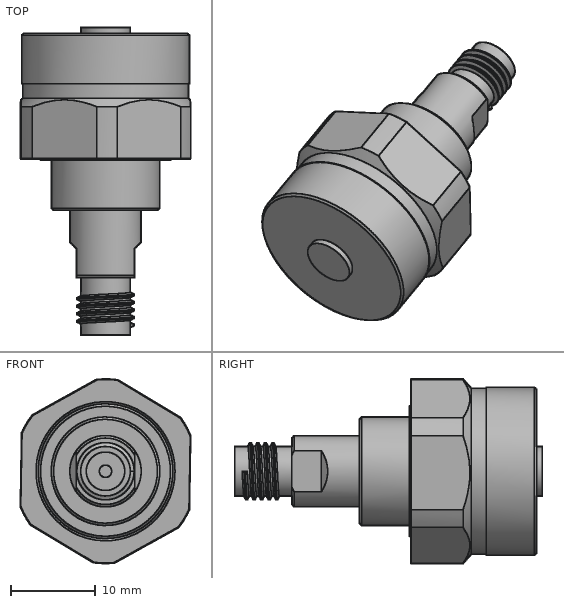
import cadquery as cq
import math

overall_length = 36.6
tip_radius = 5.9 / 2
barrel_radius = 4.25
barrel_front = 6.8
body_radius = 12.92 / 2
body_front = 14.82
edge_chamfer = 0.3

nut_radius = 10.0
nut_chamfer = 0.25
nut_back = 35.9
neck_radius = 9.9
neck_front = 28.15
neck_back = 29.9
hex_front = 20.95
hex_width = 20.13
hex_corner_radius = 10.98
hex_cone_length = 1.0
hex_edge_chamfer = 0.07
hex_turn = -1.0

ring_top_radius = 7.72
ring_height = 0.15
groove_mouth_radius = 8.27
groove_bottom_radius = 8.0
groove_depth = 0.22

flat_width = 6.9
flat_back = 10.3
clearance = 0.35

bore_radius = 4.58 / 2
bore_depth = barrel_front
contact_radius = 0.75
contact_length = bore_depth / 2

thread_crest_radius = 3.4
thread_root_radius = tip_radius - 0.07
thread_root_width = 0.7
thread_crest_width = 0.2
thread_end = 1.2
thread_length = 3.95
thread_last_part_turn = 150
thread_turns = 4 + thread_last_part_turn / 360


def rod(radius, y_from, y_to):
    """Solid cylinder on the Y axis."""
    return cq.Workplane("XZ", origin=(0, y_from, 0)).circle(radius).extrude(y_from - y_to)


def turned_core():
    """Tip, barrel, body, ring, nut sleeve and stub as one revolved profile."""
    profile = [
        (0, 0),
        (tip_radius, 0),
        (tip_radius, barrel_front),
        (barrel_radius - edge_chamfer, barrel_front),
        (barrel_radius, barrel_front + edge_chamfer),
        (barrel_radius, body_front),
        (body_radius - edge_chamfer, body_front),
        (body_radius, body_front + edge_chamfer),
        (body_radius, hex_front - ring_height),
        (ring_top_radius, hex_front - ring_height),
        (groove_bottom_radius, hex_front + groove_depth),
        (groove_mouth_radius, hex_front),
        (neck_radius, hex_front),
        (neck_radius, neck_back),
        (nut_radius, neck_back),
        (nut_radius, nut_back - nut_chamfer),
        (nut_radius - nut_chamfer, nut_back),
        (tip_radius, nut_back),
        (tip_radius, overall_length),
        (0, overall_length),
    ]
    return cq.Workplane("XY").polyline(profile).close().revolve(360, (0, 0, 0), (0, 1, 0))


def hexagon():
    """Hollow hexagon with turned corners, beveled to the neck at its back."""
    length = neck_front - hex_front
    flats_to_x = 360 / 12
    prism = (
        cq.Workplane("XZ", origin=(0, hex_front, 0))
        .polygon(6, hex_width / math.cos(math.pi / 6))
        .extrude(-length)
        .rotate((0, 0, 0), (0, 1, 0), flats_to_x - hex_turn)
    )
    envelope = rod(hex_corner_radius, hex_front, neck_front).faces(">Y").chamfer(
        hex_cone_length, hex_corner_radius - neck_radius
    )
    blank = prism.intersect(envelope).faces("<Y").chamfer(hex_edge_chamfer)
    return blank.cut(rod(groove_mouth_radius, hex_front, neck_front))


def spanner_flat(side):
    """Material removed beside one flat; its back end slopes out at 45 degrees."""
    half_width = flat_width / 2
    reach = barrel_radius - half_width + clearance
    outline = [
        (side * half_width, barrel_front),
        (side * half_width, flat_back),
        (side * (half_width + reach), flat_back + reach),
        (side * (half_width + reach), barrel_front),
    ]
    return cq.Workplane("XY").polyline(outline).close().extrude(barrel_radius, both=True)


def thread():
    """Trapezoidal helical ridge, swept along Z and then laid along the tip."""
    pitch = thread_length / thread_turns
    path = cq.Workplane(obj=cq.Wire.makeHelix(pitch, thread_length, thread_root_radius))
    ridge = (
        cq.Workplane("XZ")
        .moveTo(thread_root_radius, -thread_root_width / 2)
        .lineTo(thread_crest_radius, -thread_crest_width / 2)
        .lineTo(thread_crest_radius, thread_crest_width / 2)
        .lineTo(thread_root_radius, thread_root_width / 2)
        .close()
        .sweep(path, isFrenet=True)
    )
    return (
        ridge.rotate((0, 0, 0), (0, 0, 1), -360 * thread_turns)
        .rotate((0, 0, 0), (1, 0, 0), 90)
        .translate((0, thread_end + thread_length, 0))
    )


result = turned_core().union(hexagon())
for side in (-1, 1):
    result = result.cut(spanner_flat(side))
result = result.union(thread())
result = result.cut(rod(bore_radius, 0, bore_depth))
result = result.union(rod(contact_radius, bore_depth - contact_length, bore_depth))